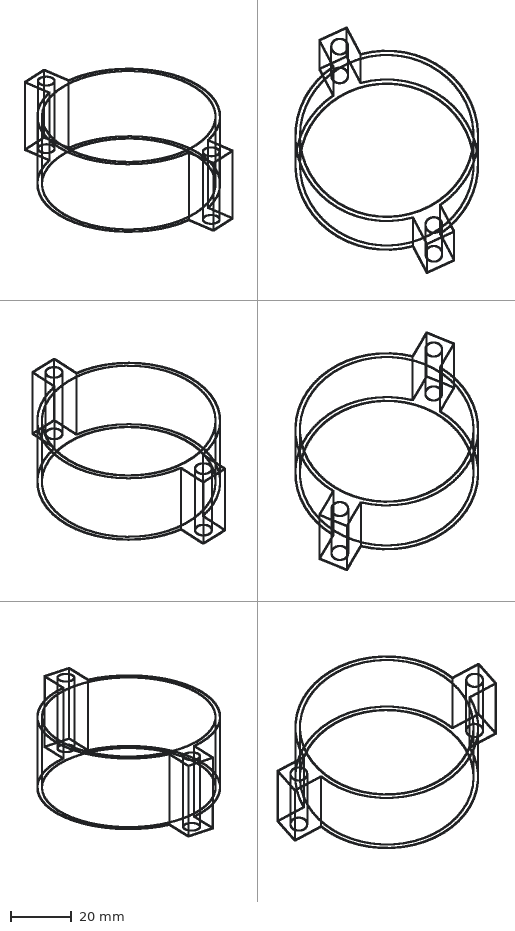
import cadquery as cq

overall_length = 80.0
height = 26.0
ring_outer_diameter = 60.0
bore_diameter = 57.0
ear_width = 10.0
ear_hole_diameter = 5.5

hole_spacing = overall_length - ear_width

body = cq.Workplane("XY").circle(ring_outer_diameter / 2).extrude(height)

ears = cq.Workplane("XY").rect(overall_length, ear_width).extrude(height)

bore = cq.Workplane("XY").circle(bore_diameter / 2).extrude(height)

ear_holes = (
    cq.Workplane("XY")
    .rarray(hole_spacing, 0.8, 2, 1)
    .circle(ear_hole_diameter / 2)
    .extrude(height)
)

result = body.union(ears).cut(bore).cut(ear_holes)